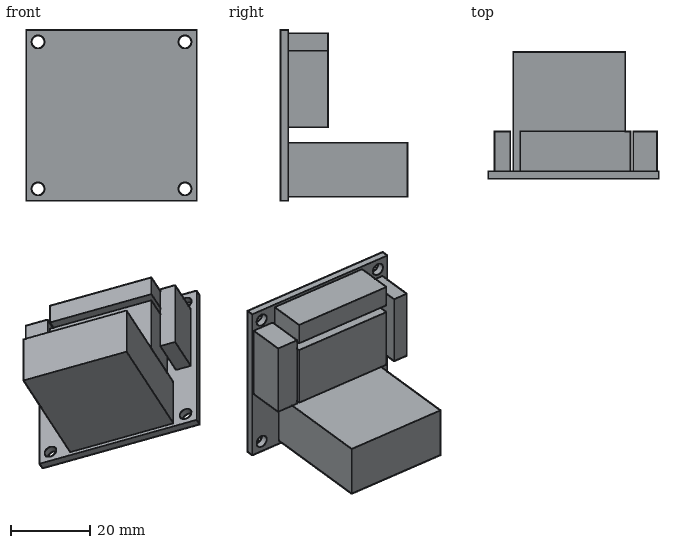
import cadquery as cq

board_side = 43.0
board_thickness = 1.98
hole_diameter = 3.2
hole_spacing = 37.0

overall_depth = 32.0
tall_height = overall_depth - board_thickness
low_height = 10.0

tall_x = (-15.2, 13.07)
tall_z = (-20.5, -6.85)
central_x = (-13.4, 14.35)
left_x = (-19.9, -15.85)
right_x = (15.0, 21.03)
low_base_z = -3.0
upper_z = (15.1, 20.7)
middle_z = (low_base_z, 13.05)
left_z = (low_base_z, 15.9)
right_z = (low_base_z, 16.3)


def component(x_span, z_span, height):
    """Box standing on the +Y face of the board."""
    x_min, x_max = x_span
    z_min, z_max = z_span
    box = cq.Workplane("XY").box(x_max - x_min, height, z_max - z_min, centered=False)
    return box.translate((x_min, board_thickness, z_min))


board = (
    cq.Workplane("XZ")
    .rect(board_side, board_side)
    .rect(hole_spacing, hole_spacing, forConstruction=True)
    .vertices()
    .circle(hole_diameter / 2)
    .extrude(-board_thickness)
)

components = [
    component(tall_x, tall_z, tall_height),
    component(central_x, upper_z, low_height),
    component(central_x, middle_z, low_height),
    component(left_x, left_z, low_height),
    component(right_x, right_z, low_height),
]

result = board
for block in components:
    result = result.union(block)